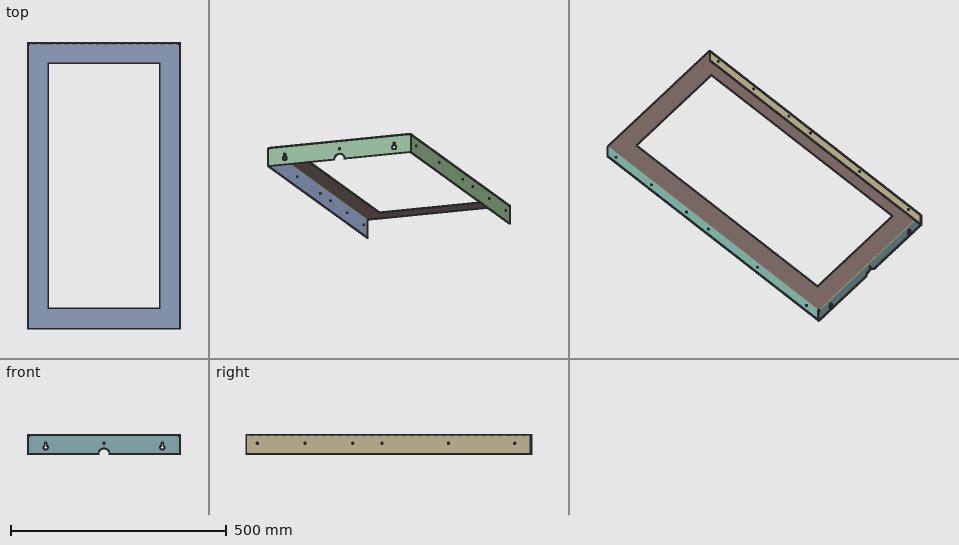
import cadquery as cq
import math

width = 353.38
length = 663.17
height = 45.0

thickness = 1.5
inner_bend_radius = 1.69
outer_bend_radius = inner_bend_radius + thickness

frame_border = 47.69

small_hole_diameter = 3.0
small_hole_height = 25.0
side_hole_distances = (26.3, 137.0, 247.5, 315.5, 469.5, 623.0)

keyhole_spacing = 270.5
keyhole_diameter = 10.0
keyhole_height = 15.5
keyhole_slot_width = 4.0
keyhole_slot_rise = 9.0
notch_radius = 12.75

cut_clearance = 1.0

half_width = width / 2
front = -length / 2
back = length / 2
flat_half_width = half_width - outer_bend_radius
flat_back = back - outer_bend_radius
bend_center_height = height - outer_bend_radius


def bent_strip(workplane, edge, run):
    """Extrude a flange with its bend; edge is the signed position of its outer face."""
    side = math.copysign(1, edge)
    tangent = edge - side * outer_bend_radius
    inner_face = edge - side * thickness

    def bend_middle(radius):
        offset = radius * math.sqrt(0.5)
        return (tangent + side * offset, bend_center_height + offset)

    return (
        workplane.moveTo(tangent, height)
        .threePointArc(bend_middle(outer_bend_radius), (edge, bend_center_height))
        .lineTo(edge, 0)
        .lineTo(inner_face, 0)
        .lineTo(inner_face, bend_center_height)
        .threePointArc(bend_middle(inner_bend_radius), (tangent, height - thickness))
        .close()
        .extrude(run)
    )


def top_plate():
    """Flat plate between the bends, open in the middle."""
    plate = cq.Workplane("XY", origin=(0, front, height - thickness)).box(
        2 * flat_half_width, flat_back - front, thickness, centered=(True, False, False)
    )
    window = cq.Workplane("XY", origin=(0, 0, height)).box(
        width - 2 * frame_border, length - 2 * frame_border, 2 * (thickness + cut_clearance)
    )
    return plate.cut(window)


def side_flange(edge):
    """Left or right flange, ending at the start of the back bend."""
    plane = cq.Workplane("XZ", origin=(0, flat_back, 0))
    return bent_strip(plane, edge, flat_back - front)


def back_flange():
    """Back flange; below its bend it widens to cover the ends of the side flanges."""
    plane = cq.Workplane("YZ", origin=(-flat_half_width, 0, 0))
    strip = bent_strip(plane, back, 2 * flat_half_width)
    full_width_wall = cq.Workplane("XY", origin=(0, back - thickness, 0)).box(
        width, thickness, bend_center_height, centered=(True, False, False)
    )
    return strip.union(full_width_wall)


def side_holes():
    """Row of small holes through both side flanges."""
    points = [(front + distance, small_hole_height) for distance in side_hole_distances]
    holes = cq.Workplane("YZ").pushPoints(points).circle(small_hole_diameter / 2)
    return holes.extrude(half_width + cut_clearance, both=True)


def back_plane():
    """XZ work plane just behind the back flange."""
    return cq.Workplane("XZ", origin=(0, back + cut_clearance, 0))


back_cut_depth = thickness + 2 * cut_clearance


def round_cutter(x, z, diameter):
    return back_plane().center(x, z).circle(diameter / 2).extrude(back_cut_depth)


def keyhole(x):
    """Round entry with a narrow slot rising to a rounded end."""
    slot = (
        back_plane()
        .center(x, keyhole_height + keyhole_slot_rise / 2)
        .rect(keyhole_slot_width, keyhole_slot_rise)
        .extrude(back_cut_depth)
    )
    entry = round_cutter(x, keyhole_height, keyhole_diameter)
    slot_end = round_cutter(x, keyhole_height + keyhole_slot_rise, keyhole_slot_width)
    return entry.union(slot).union(slot_end)


frame = top_plate().union(back_flange())
for flange_edge in (-half_width, half_width):
    frame = frame.union(side_flange(flange_edge))

frame = frame.cut(side_holes())
frame = frame.cut(round_cutter(0, small_hole_height, small_hole_diameter))
frame = frame.cut(round_cutter(0, 0, 2 * notch_radius))
for keyhole_x in (-keyhole_spacing / 2, keyhole_spacing / 2):
    frame = frame.cut(keyhole(keyhole_x))

result = frame